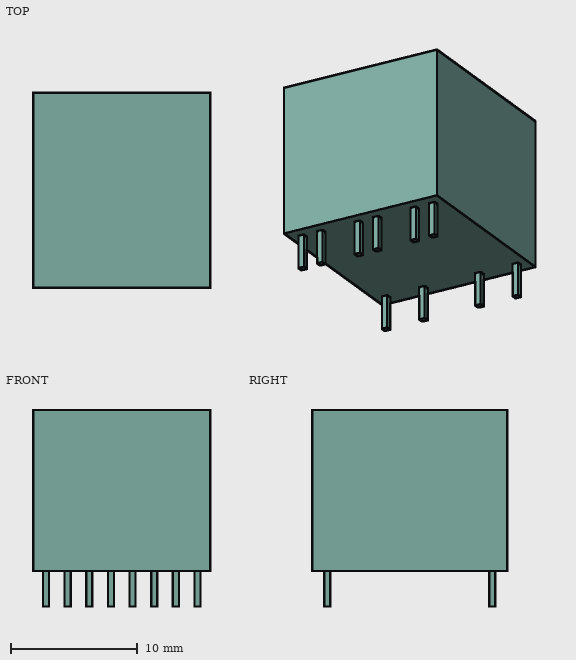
import cadquery as cq

width = 13.97
depth = 15.38
height = 15.5

pin_length = 2.8
pin_side = 0.5
pin_pitch = 1.7
row_spacing = 13.0
grid_positions = 8
front_row = (0, 2, 5, 7)
back_row = (0, 1, 3, 4, 6, 7)

body_height = height - pin_length


def make_body():
    """Plain block with its underside at Z = 0."""
    return cq.Workplane("XY").box(width, depth, body_height, centered=(True, True, False))


def make_pin_row(positions, y):
    """Square pins hanging from the underside at the given grid positions."""
    first_x = -(grid_positions - 1) * pin_pitch / 2
    centers = [(first_x + position * pin_pitch, y) for position in positions]
    return cq.Workplane("XY").pushPoints(centers).rect(pin_side, pin_side).extrude(-pin_length)


front_pins = make_pin_row(front_row, -row_spacing / 2)
back_pins = make_pin_row(back_row, row_spacing / 2)
result = make_body().union(front_pins).union(back_pins)